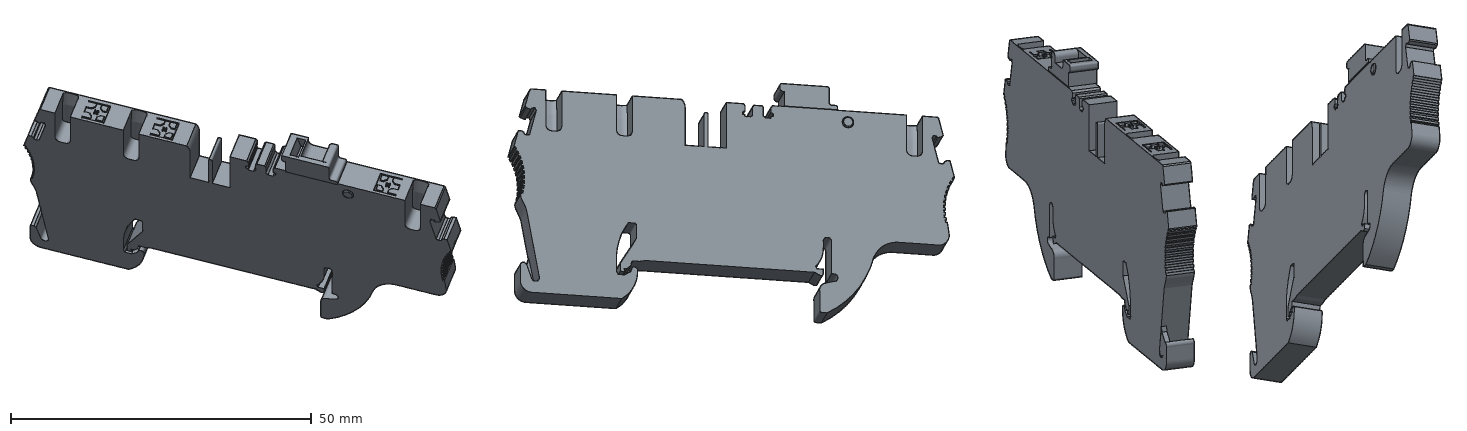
import cadquery as cq
import math

length = 74.75
depth = 5.0
proud = 0.2
total_height = 40.0
top = 36.0
rail_z = 7.0
past = 0.75

end_floor_z = 13.4
foot_sweep_x = 65.0
toe_x = 51.9
toe_round = 0.4
foot_slot_left = 52.5
foot_slot_right = 53.9

lip_x = 1.1
sole_round = 1.95
groove_left = (3.0, 2.55)
groove_floor = (3.65, 2.0)
groove_right = (4.3, 2.8)
web_thickness = 0.9

top_inset = 2.7
tip_z = 25.5
corner_cut = 0.2

grip_radius = 10.0
grip_start = 32.8
grip_end = -17.1
rib_count = 10
groove_depth = 0.26
grip_centre_x = -grip_radius * math.cos(math.radians(grip_start))
grip_centre_z = tip_z - grip_radius * math.sin(math.radians(grip_start))

pole_pitch = 11.95
slot_x = 6.8
slot_width = 2.7
slot_bottom = 28.85
slot_depth = 4.4
slot_top_depth = 4.85
slot_lean_z = 33.3
slot_fillet = 1.0
slot_corner_depth = 0.3
entry_x = 11.9
entry_y = 2.4
entry_size = 3.8
entry_recess = 0.3
entry_gap = 0.3
entry_back_gap = 0.15
entry_channel_x = 0.9
entry_channel_y = 1.1
pad_chamfer = 0.5
entry_mark = 0.9
entry_mark_width = 0.19

shaft_left = 29.1
shaft_right = 36.0
shaft_floor = 27.95
shaft_lead_in = 0.6
shaft_lead_depth = 1.4
fin_left = 32.3
fin_width = 0.7
fin_top = 34.0

notch_centre = 41.4
notch_floor = 33.8
notch_inner = 0.9
notch_outer = 2.2
notch_undercut = 2.6
post_top = 35.9
post_chamfer = 0.2
post_foot = 0.4

marker_left = 45.8
marker_right = 53.45
marker_foot_right = 54.85
marker_foot_z = 36.8
marker_lip = 0.75
marker_lip_z = 38.6
marker_round = 0.4
marker_back = depth - 0.15
marker_slot_x = 46.4
marker_slot_width = 1.5
marker_slot_floor_width = 0.8
marker_slot_y = 0.4
marker_slot_length = 3.8
marker_slot_depth = 1.9
bay_left = 48.2
bay_right = 52.6
bay_fillet = 0.9
bay_depth = 1.65
bay_round = 0.8
bay_front = 0.7

button_x = 56.65
button_z = 34.0
button_diameter = 1.95
button_chamfer = 0.19


def sketch(y=0.0):
    return cq.Workplane("XZ", origin=(0, y, 0))


def prism(points, y_front, y_back):
    """Extrude an XZ polygon between two Y positions."""
    return sketch(y_front).polyline(points).close().extrude(y_front - y_back)


def through(points):
    return prism(points, -past, depth + past)


def mirrored(shape):
    """Copy of a shape reflected to the other end of the plate."""
    return shape.mirror("YZ", (length / 2, 0, 0))


def grip_point(angle, radius):
    turn = math.radians(angle)
    return (grip_centre_x + radius * math.cos(turn), grip_centre_z + radius * math.sin(turn))


def lines(outline, points):
    """Continue an outline with straight lines through the points."""
    for point in points:
        outline = outline.lineTo(*point)
    return outline


def draw_right_foot(outline):
    """Fixed foot: swept outer edge, blunt toe, and the slot that separates it from the plate."""
    outline = lines(outline, [(foot_sweep_x, end_floor_z)])
    outline = outline.threePointArc((62.5, 12.4), (61.0, 10.2))
    outline = outline.threePointArc((58.15, 4.3), (53.15, 0.0))
    outline = lines(outline, [(toe_x + toe_round, 0.0)])
    outline = outline.radiusArc((toe_x, toe_round), toe_round)
    outline = lines(outline, [(toe_x, 3.8)])
    outline = outline.threePointArc((52.2, 4.85), (53.1, 5.3))
    outline = lines(outline, [(54.4, 5.7)])
    outline = outline.threePointArc((54.9, 6.35), (54.5, 6.95))
    slot_radius = (foot_slot_right - foot_slot_left) / 2
    slot_shoulder = end_floor_z - slot_radius
    outline = lines(outline, [(foot_slot_right, rail_z), (foot_slot_right, slot_shoulder)])
    outline = outline.radiusArc((foot_slot_left, slot_shoulder), -slot_radius)
    outline = lines(outline, [(foot_slot_left, 10.9)])
    outline = outline.threePointArc((52.1, 9.4), (51.2, 8.15))
    outline = lines(outline, [(51.4, 7.7), (foot_slot_left, 7.7), (foot_slot_left, 6.8)])
    outline = outline.threePointArc((52.25, 6.6), (51.7, 6.65))
    return lines(outline, [(51.0, rail_z)])


def draw_spring_slot(outline):
    """Rail catch and the curved slot that lets the left foot spring."""
    outline = lines(outline, [
        (22.3, rail_z), (21.4, 6.8), (20.1, 6.8), (19.9, 6.0), (19.2, 5.4), (18.75, 5.4), (18.75, 4.8),
        (18.1, 4.85), (18.1, 6.4), (20.8, 10.8), (20.8, 13.15),
    ])
    outline = outline.threePointArc((20.6, 13.45), (20.3, 13.5))
    outline = lines(outline, [(19.4, 13.5)])
    outline = outline.threePointArc((17.9, 10.2), (17.4, 6.4))
    outline = lines(outline, [(17.4, 4.8), (17.7, 4.25), (18.8, 4.25), (19.9, 5.0), (20.1, 5.6)])
    return outline.threePointArc((20.7, 5.7), (21.0, 5.15))


def draw_left_foot(outline):
    """Spring foot: curved hook, flat sole, outer lip and the groove behind the lip."""
    outline = outline.threePointArc((20.2, 1.95), (18.3, 0.0))
    outline = lines(outline, [(lip_x + sole_round, 0.0)])
    outline = outline.radiusArc((lip_x, sole_round), sole_round)
    outline = lines(outline, [(lip_x, 4.5)])
    outline = outline.threePointArc((1.3, 5.1), (1.8, 5.2))
    outline = lines(outline, [(2.2, 4.9), groove_left])
    return outline.threePointArc(groove_floor, groove_right)


def make_plate():
    grip_foot_x, grip_foot_z = grip_point(grip_end, grip_radius)
    outline = sketch().moveTo(top_inset + corner_cut, top)
    outline = lines(outline, [
        (length - top_inset - corner_cut, top), (length - top_inset, top - corner_cut), (length, tip_z),
        (length - grip_foot_x, grip_foot_z), (73.85, 15.25),
    ])
    outline = outline.threePointArc((73.25, 13.9), (72.2, end_floor_z))
    outline = draw_right_foot(outline)
    outline = draw_spring_slot(outline)
    outline = draw_left_foot(outline)
    outline = lines(outline, [
        (2.2, 14.5), (1.95, 15.1), (1.3, 16.5), (grip_foot_x, grip_foot_z), (0.0, tip_z),
        (top_inset, top - corner_cut),
    ])
    return outline.close().extrude(-depth)


def grip_cutter():
    """Concave finger grip whose arc is cut by evenly spaced square grooves."""
    step = (grip_start - grip_end) / rib_count
    points = [(-past, tip_z)]
    for rib in range(rib_count):
        crest = grip_start - rib * step
        points.append(grip_point(crest, grip_radius))
        points.append(grip_point(crest, grip_radius + groove_depth))
        points.append(grip_point(crest - step / 2, grip_radius + groove_depth))
        points.append(grip_point(crest - step / 2, grip_radius))
    points.append(grip_point(grip_end, grip_radius))
    points.append((-past, grip_point(grip_end, grip_radius)[1]))
    return through(points)


def label_recess_cutter():
    """Snap-in recess for an end label, undercut at its two corners."""
    return through([
        (0.0, 32.95), (1.9, 32.95), (2.1, 32.65), (2.9, 32.35), (3.1, 32.65), (3.6, 32.7), (3.8, 32.2),
        (2.7, 27.95), (2.25, 27.8), (1.8, 27.95), (1.7, 28.25), (1.35, 28.5), (0.0, 28.5),
    ])


def slot_plan(z, back):
    """Plan outline of a driver slot: open front, flat back with shallow rounded corners."""
    half = slot_width / 2
    flat = half - slot_fillet
    arc_radius = (slot_fillet ** 2 + slot_corner_depth ** 2) / (2 * slot_corner_depth)
    plan = cq.Workplane("XY", origin=(slot_x, 0, z)).moveTo(-half, -past)
    plan = plan.lineTo(-half, back - slot_corner_depth).radiusArc((-flat, back), arc_radius)
    plan = plan.lineTo(flat, back).radiusArc((half, back - slot_corner_depth), arc_radius)
    return plan.lineTo(half, -past).close()


def driver_slot_cutter():
    """Slot open to the front and the top, upright below and leaning back near the top edge."""
    upright = slot_plan(slot_bottom, slot_depth).extrude(slot_lean_z - slot_bottom)
    upright = upright.faces("<Z").edges("|Y").fillet(slot_fillet)
    lean_ends = [slot_plan(slot_lean_z, slot_depth).val(), slot_plan(top, slot_top_depth).val()]
    return upright.union(cq.Workplane(cq.Solid.makeLoft(lean_ends, True)))


def wire_entry_cutter():
    """Square recess leaving four chamfered corner pads and a small diagonal cross."""
    half = entry_size / 2
    floor = top - entry_recess
    plane = cq.Workplane("XY", origin=(entry_x, entry_y, floor))
    cutter = plane.rect(entry_size, entry_size).extrude(entry_recess + past)
    near_x = entry_channel_x / 2
    near_y = entry_channel_y / 2
    for side_x, far_x in ((-1, -half), (1, half - entry_gap)):
        for side_y, far_y in ((-1, entry_gap - half), (1, half - entry_back_gap)):
            pad = [
                (far_x, far_y), (far_x, side_y * near_y),
                (side_x * (near_x + pad_chamfer), side_y * near_y),
                (side_x * near_x, side_y * (near_y + pad_chamfer)), (side_x * near_x, far_y),
            ]
            cutter = cutter.cut(plane.polyline(pad).close().extrude(entry_recess))
    for angle in (45, -45):
        ridge = plane.transformed(rotate=(0, 0, angle)).rect(entry_mark, entry_mark_width)
        cutter = cutter.cut(ridge.extrude(entry_recess))
    return cutter


def shaft_cutter():
    """Deep central shaft with a curved lead-in on its left and a round-tipped fin inside."""
    shaft = sketch(-past).moveTo(shaft_left, shaft_floor).lineTo(shaft_right, shaft_floor)
    shaft = shaft.lineTo(shaft_right, top + past).lineTo(shaft_left - shaft_lead_in, top + past)
    shaft = shaft.lineTo(shaft_left - shaft_lead_in, top)
    shaft = shaft.threePointArc((shaft_left - 0.15, top - 0.7), (shaft_left, top - shaft_lead_depth))
    shaft = shaft.close().extrude(-depth - 2 * past)
    straight = fin_top - fin_width / 2
    fin_right = fin_left + fin_width
    fin = sketch(-past).moveTo(fin_left, shaft_floor).lineTo(fin_left, straight)
    fin = fin.threePointArc((fin_left + fin_width / 2, fin_top), (fin_right, straight))
    fin = fin.lineTo(fin_right, shaft_floor).close().extrude(-depth - 2 * past)
    return shaft.cut(fin)


def hooked_notch_cutter():
    """Two facing notches undercut on their outer sides, with a slightly lower post between."""
    notches = through([
        (notch_centre - notch_inner, post_top - post_chamfer),
        (notch_centre - notch_inner + post_chamfer, post_top),
        (notch_centre + notch_inner - post_chamfer, post_top),
        (notch_centre + notch_inner, post_top - post_chamfer),
        (notch_centre + notch_inner, top + past), (notch_centre - notch_inner, top + past),
    ])
    for side in (-1, 1):
        outline = [
            (notch_inner, top + past), (notch_inner, post_top - post_chamfer),
            (notch_inner, notch_floor + post_foot), (notch_inner + post_foot, notch_floor),
            (notch_outer, notch_floor),
            (notch_outer + 0.1, 34.1), (notch_undercut, 34.2), (notch_undercut, 34.5),
            (notch_outer, 34.8), (notch_outer, 35.65), (notch_undercut - 0.15, top),
            (notch_undercut - 0.15, top + past),
        ]
        notches = notches.union(through([(notch_centre + side * x, z) for x, z in outline]))
    return notches


def make_marker():
    """Marker carrier with a hooked left lip, a stepped foot, a slot and a bay open to the back."""
    r = marker_round
    hook_x = marker_left - marker_lip
    body = sketch(-proud).moveTo(marker_left, top).lineTo(marker_left, marker_lip_z)
    body = body.threePointArc((hook_x + 0.15, marker_lip_z + 0.2), (hook_x, marker_lip_z + 0.6))
    body = body.lineTo(hook_x, total_height - r)
    body = body.radiusArc((hook_x + r, total_height), r)
    body = body.lineTo(marker_right - r, total_height)
    body = body.radiusArc((marker_right, total_height - r), r)
    body = body.lineTo(marker_right, marker_foot_z + r)
    body = body.radiusArc((marker_right + r, marker_foot_z), -r)
    body = body.lineTo(marker_foot_right - r, marker_foot_z)
    body = body.radiusArc((marker_foot_right, marker_foot_z - r), r)
    body = body.lineTo(marker_foot_right, top).close().extrude(-marker_back - proud)

    slot_right = marker_slot_x + marker_slot_width
    slot_floor = total_height - marker_slot_depth
    slot = prism([
        (marker_slot_x, total_height), (slot_right, total_height),
        (slot_right, slot_floor), (slot_right - marker_slot_floor_width, slot_floor),
    ], marker_slot_y, marker_slot_y + marker_slot_length)

    bay_floor = total_height - bay_depth
    bay = sketch(bay_front).moveTo(bay_left, total_height).lineTo(bay_left, bay_floor + bay_fillet)
    bay = bay.radiusArc((bay_left + bay_fillet, bay_floor), -bay_fillet)
    bay = bay.lineTo(bay_right - bay_round, bay_floor)
    bay = bay.lineTo(bay_right - bay_round, total_height - bay_round)
    bay = bay.radiusArc((bay_right, total_height), bay_round)
    bay = bay.close().extrude(bay_front - depth)
    return body.cut(slot).cut(bay)


def make_button():
    button = sketch().center(button_x, button_z).circle(button_diameter / 2).extrude(proud)
    return button.faces("<Y").chamfer(button_chamfer)


def make_web():
    """Thin web at the back that fills the left foot groove and slopes up to the end face."""
    points = [(1.7, 5.2), (3.15, 6.6), (3.4, 7.5), groove_right, groove_floor, groove_left]
    return prism(points, depth - web_thickness, depth)


slot = driver_slot_cutter()
entry = wire_entry_cutter()
result = make_plate()
for end_cutter in (grip_cutter(), label_recess_cutter(), slot, entry):
    result = result.cut(end_cutter)
    result = result.cut(mirrored(end_cutter))
for pole_cutter in (slot, entry):
    result = result.cut(pole_cutter.translate((pole_pitch, 0, 0)))
result = result.cut(shaft_cutter()).cut(hooked_notch_cutter())
result = result.union(make_marker()).union(make_button()).union(make_web())